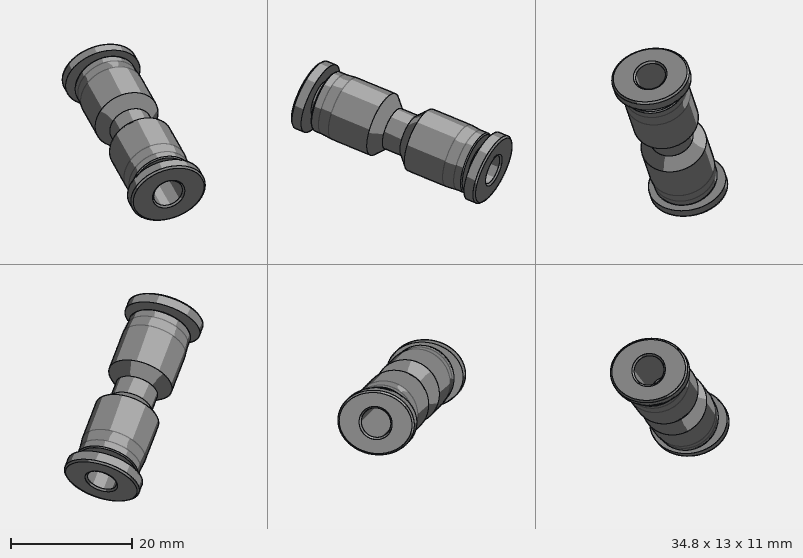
import cadquery as cq

overall_length = 34.8
half_length = overall_length / 2

flange_width = 13.0
flange_height = 11.0
flange_thickness = 2.02
flange_chamfer = 0.3
neck_diameter = 6.3
bore_diameter = 5.0
bore_chamfer = 0.3

body_diameter = 11.0
collar_diameter = 10.6
waist_diameter = 7.2
sleeve_gap = 1.1
collar_length = 1.5
collar_taper_length = 2.0
barrel_length = 7.25
collar_chamfer = 0.2
shoulder_length = (body_diameter - waist_diameter) / 2

housing_end = half_length - flange_thickness - sleeve_gap
collar_end = housing_end - collar_length
barrel_outer_end = collar_end - collar_taper_length
barrel_inner_end = barrel_outer_end - barrel_length
waist_end = barrel_inner_end - shoulder_length

socket_floor = barrel_inner_end
neck_length = half_length - flange_thickness - socket_floor


def make_housing():
    """Revolve the stepped barrel profile and sink a blind socket into each end."""
    right_profile = [
        (waist_end, waist_diameter / 2),
        (barrel_inner_end, body_diameter / 2),
        (barrel_outer_end, body_diameter / 2),
        (collar_end, collar_diameter / 2),
        (housing_end - collar_chamfer, collar_diameter / 2),
        (housing_end, collar_diameter / 2 - collar_chamfer),
        (housing_end, 0),
    ]
    left_profile = [(-x, radius) for x, radius in reversed(right_profile)]
    housing = (
        cq.Workplane("XY")
        .polyline(left_profile + right_profile)
        .close()
        .revolve(360, (0, 0, 0), (1, 0, 0))
    )
    socket_depth = housing_end - socket_floor
    for start in (-housing_end, socket_floor):
        socket = cq.Workplane("YZ", origin=(start, 0, 0)).circle(neck_diameter / 2).extrude(socket_depth)
        housing = housing.cut(socket)
    return housing


def make_sleeve():
    """Make the sleeve at the -X end: an oval flange and a round neck with a through bore."""
    flange = (
        cq.Workplane("YZ", origin=(-half_length, 0, 0))
        .ellipse(flange_width / 2, flange_height / 2)
        .extrude(flange_thickness)
        .faces("<X")
        .chamfer(flange_chamfer)
    )
    neck = (
        cq.Workplane("YZ", origin=(-half_length + flange_thickness, 0, 0))
        .circle(neck_diameter / 2)
        .extrude(neck_length)
    )
    bore = (
        cq.Workplane("YZ", origin=(-half_length, 0, 0))
        .circle(bore_diameter / 2)
        .extrude(flange_thickness + neck_length)
    )
    sleeve = flange.union(neck).cut(bore)
    mouth_edge = sleeve.faces("<X").edges(cq.selectors.RadiusNthSelector(0))
    return mouth_edge.chamfer(bore_chamfer)


housing = make_housing()
sleeves = [make_sleeve().rotate((0, 0, 0), (0, 0, 1), turn).val() for turn in (0, 180)]

result = cq.Compound.makeCompound([housing.val(), *sleeves])